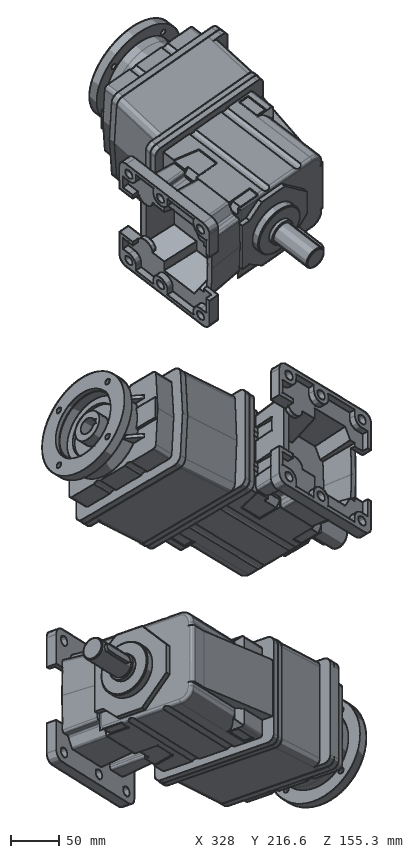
import cadquery as cq
import math


X_NECK = 11.0
X_CONE = 21.0
X_ADAPTER = 35.0
X_COVER = 58.5
X_GEARBOX = 66.0
X_LUG = 73.4
X_FLANGE = 132.4
X_JOINT = 139.0
X_HOUSING = 146.0
X_END = 259.0
X_END_PLATE = 264.6
X_COLLAR = 273.6
X_SHOULDER = 278.0
X_SHAFT_END = 328.0

INPUT_Y = 48.5
FLANGE_DIA = 120.0
NECK_DIA = 90.0
CONE_DIA = 94.5
SPIGOT_DIA, SPIGOT_DEPTH = 80.0, 5.0
BELL_DIA, BELL_DEPTH = 78.0, 16.0
SEAL_DIA, SEAL_DEPTH = 62.0, 19.0
HUB_DIA, HUB_FACE = 35.0, 6.0
BORE_DIA, BORE_DEPTH = 19.0, 46.0
BORE_KEY_WIDTH, BORE_KEY_REACH = 6.0, 12.3
BOLT_CIRCLE, BOLT_DIA = 100.0, 6.65
RIB_Z, RIB_WIDTH = 25.0, 4.4
RIB_ROOT, RIB_TIP_X, RIB_TIP_REACH = 20.0, 22.0, 37.0
LOWER_RIB_REACH, UPPER_RIB_REACH, UPPER_RIB_SETBACK = 54.0, 46.0, 2.0
STRAP_HALF_WIDTH, STRAP_THICKNESS, STRAP_GAP = 13.0, 2.8, 0.6
ADAPTER_TOP, ADAPTER_HALF_Z, ADAPTER_RADIUS = 103.5, 49.8, 4.5
ADAPTER_GROOVE_Y = (62.8, 17.5)
ADAPTER_CORNER_Y, ADAPTER_PEAK_Y = -22.3, -25.3

CASE_TOP = 116.57
CASE_HALF_Z = 62.1
CASE_RADIUS, COVER_RADIUS = 8.0, 9.3
CASE_CORNER_Y, CASE_PEAK_Y = -34.5, -38.2
GEARBOX_TOP, GEARBOX_TOP_END = 104.0, 98.0
GEARBOX_END_CORNER_Y, GEARBOX_END_PEAK_Y = -41.3, -44.0
GEARBOX_START_HALF_Z, GEARBOX_HALF_Z = 61.5, 61.7
FLANGE_TOP, FLANGE_BOTTOM = 98.4, -56.4
JOINT_STEP = 0.4

HOUSING_HALF_Z = 52.9
HOUSING_TOP, HOUSING_BOTTOM = 76.0, -44.5
HOUSING_TOP_RADIUS = 15.5
END_RADIUS = 4.0
SHOULDER_TOP, SHOULDER_END, SHOULDER_RADIUS = 83.0, 184.0, 3.0
PLATE_X, PLATE_Y = (148.8, 175.3), (61.5, 74.0)
RIDGE_START_Y, RIDGE_END_Y = 96.6, 78.0
RIDGE_SLOPE_END, RIDGE_HALF_Z = 240.0, 33.0
GROOVE_Y = (42.5, -2.8)
GROOVE_WIDTH, GROOVE_DEPTH = 9.0, 1.8
UNDER_GROOVE_Z, UNDER_GROOVE_WIDTH = 22.2, 6.2
PAD_DEPTH, PAD_TOP_Y = 1.5, -15.0
LABEL_BOTTOM_X, LABEL_TOP_X, LABEL_END_X = 161.5, 168.5, 195.5
UNDERCUT_X, CORNER_X = (178.0, LABEL_END_X), (244.8, 257.0)
UNDERCUT_Y, UNDERCUT_DEPTH = -39.5, 8.0
END_PLATE_APOTHEM, END_PLATE_FLAT = 48.0, 16.5
END_PLATE_STEP_Y, END_PLATE_FOOT_HALF = -34.0, 33.0

EDGE_CHAMFER = 1.0
COLLAR_DIA = 60.0
JOURNAL_DIA = 30.0
SHAFT_DIA = 25.0
KEY_START, KEY_LENGTH, KEY_WIDTH, KEY_TOP = 283.5, 40.0, 8.0, 15.5

FOOT_BOTTOM = -100.0
FOOT_THICKNESS = 12.6
FOOT_TOP = FOOT_BOTTOM + FOOT_THICKNESS
FOOT_X0, FOOT_LENGTH = 138.6, 135.0
FOOT_X1 = FOOT_X0 + FOOT_LENGTH
FOOT_HALF_Z = 155.26 / 2
FOOT_RADIUS = 10.0
FOOT_GAP_HALF = 32.8
HOLE_X = (152.6, 200.0, 260.2)
HOLE_Z, HOLE_DIA, HOLE_PAD_RADIUS = 65.3, 11.0, 10.6
RECESS_DEPTH = 7.5
RECESS_Y = FOOT_BOTTOM + RECESS_DEPTH
RECESS_X0, RECESS_X1, RECESS_HALF_Z = 143.6, 268.6, 72.4
LIP_HALF_Z = 38.2
BOSS_X, BOSS_Z, BOSS_RADIUS = 169.4, 37.9, 10.8
NECK_X0, NECK_BOSS_END, NECK_WIDE_X0, NECK_WIDE_X1 = 157.4, 181.0, 194.0, 246.5
NECK_SLANT_END, NECK_X1 = 253.5, 262.9
NECK_BOSS_HALF, NECK_NARROW_HALF, NECK_WIDE_HALF = 51.5, 43.0, 55.5
NECK_POCKET_END, NECK_POCKET_FLOOR, NECK_POCKET_Z = 162.5, -69.0, (14.0, 31.4)
WALL_PEAK = 1.2
NECK_RADIUS = 3.0
NECK_INSET = 2.8
CAVITY_X0, CAVITY_WIDE_X0, CAVITY_WIDE_X1, CAVITY_SLANT_END, CAVITY_X1 = 164.3, 197.9, 243.0, 250.4, 257.2
CAVITY_NARROW_HALF, CAVITY_WIDE_HALF = 37.4, 51.0
CAVITY_SLANT_RATIO = 0.6
CAVITY_FLOOR_Y = -53.0
CAVITY_INSET = 7.0


def box(x0, x1, y0, y1, z0, z1):
    return cq.Workplane("XY").box(x1 - x0, y1 - y0, z1 - z0, centered=False).translate((x0, y0, z0))


def x_cylinder(x0, x1, diameter, y):
    return cq.Workplane("YZ", origin=(x0, 0, 0)).center(y, 0).circle(diameter / 2).extrude(x1 - x0)


def both_sides(shape):
    """The shape together with its mirror image across Z = 0."""
    return shape.union(shape.mirror("XY"))


def case_wire(x, top, corner_y, peak_y, half_z, radius):
    """Rounded outline across X whose -Y edge comes to a shallow point at Z = 0."""
    points = [(x, top, half_z), (x, top, -half_z), (x, corner_y, -half_z), (x, peak_y, 0),
              (x, corner_y, half_z)]
    wire = cq.Wire.makePolygon([cq.Vector(*p) for p in points], close=True)
    corners = [v for v in wire.Vertices() if abs(v.Z) > half_z / 2]
    return wire.fillet2D(radius, corners)


def case_block(start_wire, end_wire):
    return cq.Workplane(cq.Solid.makeLoft([start_wire, end_wire], True))


def straight_case(x0, x1, *outline):
    return case_block(case_wire(x0, *outline), case_wire(x1, *outline))


def groove_cutter(x0, x1, width, depth):
    """Round-bottomed cutter along X: its chord lies on Z = 0, its belly points to -Z."""
    profile = cq.Workplane("YZ", origin=(x0, 0, 0)).moveTo(-width / 2, 0)
    return profile.threePointArc((0, -depth), (width / 2, 0)).close().extrude(x1 - x0)


def motor_flange():
    body = x_cylinder(0, X_NECK, FLANGE_DIA, INPUT_Y)
    body = body.union(x_cylinder(X_NECK, X_CONE, NECK_DIA, INPUT_Y))
    cone = cq.Workplane("YZ", origin=(X_CONE, INPUT_Y, 0)).circle(NECK_DIA / 2)
    cone = cone.workplane(offset=X_ADAPTER - X_CONE).circle(CONE_DIA / 2).loft()
    return body.union(cone)


def rib(side, tip_x, tip_reach, base_reach):
    """One triangular rib in the corner of cone and adapter block; reaches are from the input axis."""
    points = [(tip_x, RIB_ROOT), (tip_x, tip_reach), (X_ADAPTER, base_reach), (X_ADAPTER, RIB_ROOT)]
    points = [(x, INPUT_Y + side * reach) for x, reach in points]
    profile = cq.Workplane("XY", origin=(0, 0, RIB_Z - RIB_WIDTH / 2)).polyline(points).close()
    return profile.extrude(RIB_WIDTH)


def ribs():
    lower = rib(-1, RIB_TIP_X, RIB_TIP_REACH, LOWER_RIB_REACH)
    upper = rib(1, RIB_TIP_X + UPPER_RIB_SETBACK, RIB_TIP_REACH, UPPER_RIB_REACH)
    return both_sides(lower.union(upper))


def adapter():
    block = straight_case(X_ADAPTER, X_COVER, ADAPTER_TOP, ADAPTER_CORNER_Y, ADAPTER_PEAK_Y,
                          ADAPTER_HALF_Z, ADAPTER_RADIUS)
    for y in ADAPTER_GROOVE_Y:
        cutter = groove_cutter(X_ADAPTER, X_COVER, GROOVE_WIDTH, GROOVE_DEPTH)
        block = block.cut(both_sides(cutter.translate((0, y, ADAPTER_HALF_Z))))
    strap = box(X_ADAPTER - STRAP_THICKNESS, X_ADAPTER, ADAPTER_PEAK_Y + STRAP_GAP, INPUT_Y,
                -STRAP_HALF_WIDTH, STRAP_HALF_WIDTH)
    return block.union(strap)


def input_bore(body):
    """Stepped bell in the motor flange with a keyed hub standing in it."""
    body = body.cut(x_cylinder(0, SPIGOT_DEPTH, SPIGOT_DIA, INPUT_Y))
    body = body.cut(x_cylinder(0, BELL_DEPTH, BELL_DIA, INPUT_Y))
    body = body.cut(x_cylinder(0, SEAL_DEPTH, SEAL_DIA, INPUT_Y))
    body = body.union(x_cylinder(HUB_FACE, SEAL_DEPTH, HUB_DIA, INPUT_Y))
    body = body.cut(x_cylinder(0, BORE_DEPTH, BORE_DIA, INPUT_Y))
    body = body.cut(box(0, BORE_DEPTH, INPUT_Y - BORE_KEY_REACH, INPUT_Y,
                        -BORE_KEY_WIDTH / 2, BORE_KEY_WIDTH / 2))
    for quarter in range(4):
        angle = math.radians(45 + 90 * quarter)
        y = INPUT_Y + BOLT_CIRCLE / 2 * math.cos(angle)
        z = BOLT_CIRCLE / 2 * math.sin(angle)
        body = body.cut(x_cylinder(0, X_NECK, BOLT_DIA, y).translate((0, 0, z)))
    return body


def gearbox():
    cover = straight_case(X_COVER, X_GEARBOX, CASE_TOP, CASE_CORNER_Y, CASE_PEAK_Y, CASE_HALF_Z, COVER_RADIUS)
    rim = straight_case(X_GEARBOX, X_LUG, CASE_TOP, CASE_CORNER_Y, CASE_PEAK_Y,
                        GEARBOX_START_HALF_Z, CASE_RADIUS)
    start = case_wire(X_GEARBOX, GEARBOX_TOP, CASE_CORNER_Y, CASE_PEAK_Y, GEARBOX_START_HALF_Z, CASE_RADIUS)
    end = case_wire(X_FLANGE, GEARBOX_TOP_END, GEARBOX_END_CORNER_Y, GEARBOX_END_PEAK_Y,
                    GEARBOX_HALF_Z, CASE_RADIUS)
    body = cover.union(rim).union(case_block(start, end))
    for x0, x1, step in ((X_FLANGE, X_JOINT, 0), (X_JOINT, X_HOUSING, JOINT_STEP)):
        body = body.union(straight_case(x0, x1, FLANGE_TOP - step, FLANGE_BOTTOM + step, FLANGE_BOTTOM + step,
                                        CASE_HALF_Z - step, CASE_RADIUS))
    return body


def label_recess():
    """Shallow recess on the +Z face, open towards the foot, with one slanting side."""
    points = [(LABEL_BOTTOM_X, HOUSING_BOTTOM), (LABEL_TOP_X, PAD_TOP_Y), (LABEL_END_X, PAD_TOP_Y),
              (LABEL_END_X, HOUSING_BOTTOM)]
    recess = cq.Workplane("XY", origin=(0, 0, HOUSING_HALF_Z - PAD_DEPTH)).polyline(points).close()
    return recess.extrude(PAD_DEPTH)


def undercut(x0, x1):
    """Wedge that slopes the floor of a recess down to the narrow part of the foot neck."""
    floor = HOUSING_HALF_Z - PAD_DEPTH
    points = [(UNDERCUT_Y, floor), (HOUSING_BOTTOM, floor), (HOUSING_BOTTOM, floor - UNDERCUT_DEPTH)]
    return cq.Workplane("YZ", origin=(x0, 0, 0)).polyline(points).close().extrude(x1 - x0)


def main_housing():
    length = X_END - X_HOUSING
    height = HOUSING_TOP - HOUSING_BOTTOM
    body = cq.Workplane("YZ", origin=(X_HOUSING, (HOUSING_TOP + HOUSING_BOTTOM) / 2, 0))
    body = body.rect(height, 2 * HOUSING_HALF_Z).extrude(length)
    body = body.edges("|X and >Y").fillet(HOUSING_TOP_RADIUS)
    body = body.faces(">X").edges().fillet(END_RADIUS)
    shoulder = box(X_HOUSING, SHOULDER_END, 0, SHOULDER_TOP, -HOUSING_HALF_Z, HOUSING_HALF_Z)
    shoulder = shoulder.faces(">X").edges("|Y or >Y").chamfer(SHOULDER_TOP - HOUSING_TOP)
    body = body.union(shoulder.edges("|X and >Y").fillet(SHOULDER_RADIUS))
    ridge = [(X_HOUSING, 0), (X_HOUSING, RIDGE_START_Y), (RIDGE_SLOPE_END, RIDGE_END_Y), (X_END, RIDGE_END_Y),
             (X_END, 0)]
    ridge = cq.Workplane("XY", origin=(0, 0, -RIDGE_HALF_Z)).polyline(ridge).close().extrude(2 * RIDGE_HALF_Z)
    body = body.union(ridge.edges("|Z and >X").edges(">Y").fillet(END_RADIUS))
    for y in GROOVE_Y:
        cutter = groove_cutter(X_HOUSING, X_END, GROOVE_WIDTH, GROOVE_DEPTH)
        body = body.cut(both_sides(cutter.translate((0, y, HOUSING_HALF_Z))))
    under = groove_cutter(X_HOUSING, X_END, UNDER_GROOVE_WIDTH, GROOVE_DEPTH)
    under = under.rotate((0, 0, 0), (1, 0, 0), 90)
    body = body.cut(both_sides(under.translate((0, HOUSING_BOTTOM, UNDER_GROOVE_Z))))
    body = body.cut(both_sides(label_recess()))
    plate = box(*PLATE_X, *PLATE_Y, HOUSING_HALF_Z - PAD_DEPTH, HOUSING_HALF_Z)
    corner = box(*CORNER_X, HOUSING_BOTTOM, PAD_TOP_Y, HOUSING_HALF_Z - PAD_DEPTH, HOUSING_HALF_Z)
    cutters = plate.union(corner).union(undercut(*CORNER_X)).union(undercut(*UNDERCUT_X))
    return body.cut(both_sides(cutters))


def output_end():
    a, f, w = END_PLATE_APOTHEM, END_PLATE_FLAT, END_PLATE_FOOT_HALF
    outline = [(a, f), (f, a), (-f, a), (END_PLATE_STEP_Y, w), (HOUSING_BOTTOM, w), (HOUSING_BOTTOM, -w),
               (END_PLATE_STEP_Y, -w), (-f, -a), (f, -a), (a, -f)]
    body = cq.Workplane("YZ", origin=(X_END, 0, 0)).polyline(outline).close().extrude(X_END_PLATE - X_END)
    body = body.union(x_cylinder(X_END_PLATE, X_COLLAR, COLLAR_DIA, 0).faces(">X").chamfer(EDGE_CHAMFER))
    body = body.union(x_cylinder(X_COLLAR, X_SHOULDER, JOURNAL_DIA, 0))
    body = body.union(x_cylinder(X_SHOULDER, X_SHAFT_END, SHAFT_DIA, 0).faces(">X").chamfer(EDGE_CHAMFER))
    key = cq.Workplane("XZ", origin=(KEY_START + KEY_LENGTH / 2, 0, 0)).slot2D(KEY_LENGTH, KEY_WIDTH)
    return body.union(key.extrude(-KEY_TOP))


def mirrored_outline(y, half, peak_x):
    """Closed wire on the plane at height y from its +Z half and a point on Z = 0."""
    whole = half + [(peak_x, 0)] + [(x, -z) for x, z in reversed(half)]
    return cq.Workplane("XZ", origin=(0, y, 0)).polyline(whole).close().val()


def neck_wire(y, inset):
    """Outline of the neck at height y with its walls moved inwards by inset."""
    x0, boss_end, wide_start, wide_end, slant_end, x1 = (
        NECK_X0 + inset, NECK_BOSS_END - inset, NECK_WIDE_X0 + inset, NECK_WIDE_X1 - inset,
        NECK_SLANT_END - inset, NECK_X1 - inset)
    boss, narrow, wide = NECK_BOSS_HALF - inset, NECK_NARROW_HALF - inset, NECK_WIDE_HALF - inset
    half = [(x0, boss), (boss_end, boss), (boss_end, narrow), (wide_start, narrow), (wide_start, wide),
            (wide_end, wide), (slant_end, narrow), (x1, narrow)]
    return mirrored_outline(y, half, x1 + WALL_PEAK)


def foot_neck():
    foot_end, housing_end = neck_wire(FOOT_TOP, 0), neck_wire(HOUSING_BOTTOM, NECK_INSET)
    neck = cq.Workplane(cq.Solid.makeLoft([foot_end, housing_end], True))
    side_edges = [e for e in neck.edges("not #Y").vals() if abs(e.Center().z) > WALL_PEAK]
    neck = neck.newObject(side_edges).fillet(NECK_RADIUS)
    pocket = box(NECK_X0, NECK_POCKET_END, NECK_POCKET_FLOOR, HOUSING_BOTTOM, *NECK_POCKET_Z)
    return neck.cut(both_sides(pocket))


def cavity_wire(y, inset):
    """Cavity outline at height y with its walls moved inwards by inset."""
    slant_shift = inset * CAVITY_SLANT_RATIO
    x0, wide_start, x1 = CAVITY_X0 + inset, CAVITY_WIDE_X0 + inset, CAVITY_X1 - inset
    wide_end, slant_end = CAVITY_WIDE_X1 - slant_shift, CAVITY_SLANT_END - slant_shift
    narrow, wide = CAVITY_NARROW_HALF - inset, CAVITY_WIDE_HALF - inset
    half = [(x0, narrow), (wide_start, narrow), (wide_start, wide), (wide_end, wide), (slant_end, narrow),
            (x1, narrow)]
    return mirrored_outline(y, half, x1 + WALL_PEAK)


def foot_cavity():
    sole, floor = cavity_wire(RECESS_Y, 0), cavity_wire(CAVITY_FLOOR_Y, CAVITY_INSET)
    return cq.Workplane(cq.Solid.makeLoft([sole, floor], True))


def foot_recess():
    """Recess in the sole that leaves a rim and a pad around every hole, on the +Z side."""
    recess = box(RECESS_X0, RECESS_X1, FOOT_BOTTOM, RECESS_Y, 0, RECESS_HALF_Z)
    recess = recess.cut(box(RECESS_X0, BOSS_X - BOSS_RADIUS, FOOT_BOTTOM, RECESS_Y, 0, LIP_HALF_Z))
    r = HOLE_PAD_RADIUS
    first, last = HOLE_X[0], HOLE_X[-1]
    for x in HOLE_X:
        round_pad = cq.Workplane("XZ", origin=(x, FOOT_BOTTOM, HOLE_Z)).circle(r).extrude(-RECESS_DEPTH)
        recess = recess.cut(round_pad)
        recess = recess.cut(box(x - r, x + r, FOOT_BOTTOM, RECESS_Y, HOLE_Z, FOOT_HALF_Z))
    for x0, x1 in ((FOOT_X0, first), (last, FOOT_X1)):
        recess = recess.cut(box(x0, x1, FOOT_BOTTOM, RECESS_Y, HOLE_Z - r, FOOT_HALF_Z))
    return recess


def foot():
    plate = box(FOOT_X0, FOOT_X1, FOOT_BOTTOM, FOOT_TOP, -FOOT_HALF_Z, FOOT_HALF_Z)
    plate = plate.edges("|Y").fillet(FOOT_RADIUS)
    plate = plate.cut(box(FOOT_X0, FOOT_X1, FOOT_BOTTOM, FOOT_TOP, -FOOT_GAP_HALF, FOOT_GAP_HALF))
    body = plate.union(foot_neck()).cut(both_sides(foot_recess())).cut(foot_cavity())
    boss = cq.Workplane("XZ", origin=(BOSS_X, RECESS_Y, BOSS_Z))
    boss = boss.circle(BOSS_RADIUS).extrude(RECESS_Y - FOOT_TOP)
    body = body.union(both_sides(boss))
    holes = cq.Workplane("XZ", origin=(0, FOOT_TOP, 0))
    holes = holes.pushPoints([(x, z) for x in HOLE_X for z in (-HOLE_Z, HOLE_Z)])
    return body.cut(holes.circle(HOLE_DIA / 2).extrude(FOOT_THICKNESS))


input_side = input_bore(motor_flange().union(adapter()).union(ribs()))
result = input_side.union(gearbox()).union(main_housing()).union(output_end()).union(foot())